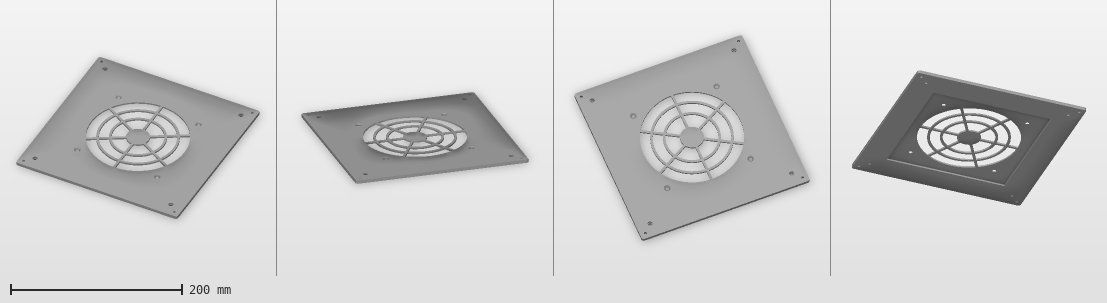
import cadquery as cq

side = 212.0
thickness = 4.0
corner_radius = 3.0

panel_thickness = 2.0
pocket_side = 148.5

opening_radius = 61.0
hub_radius = 14.0
bar_width = 3.0
ring_outer_radii = (34.0, 49.0)
spoke_count = 6

corner_hole_offset = 99.2
corner_hole_diameter = 3.2

counterbore_hole_offset = 89.5
counterbore_hole_diameter = 3.2
counterbore_diameter = 6.0
counterbore_depth = thickness / 2

fan_hole_offset = 52.5
fan_hole_diameter = 4.2
countersink_diameter = 8.0
countersink_angle = 90.0


def disc(radius):
    """Solid disc as thick as the plate, centred on the Z axis."""
    return cq.Workplane("XY").circle(radius).extrude(thickness)


def ring(outer_radius):
    """Grille ring of one bar width."""
    return disc(outer_radius).cut(disc(outer_radius - bar_width))


def spokes():
    """Bars across the full opening; each makes two opposite spokes, the first along Y."""
    bars = cq.Workplane("XY")
    for index in range(spoke_count // 2):
        bar = cq.Workplane("XY").rect(bar_width, 2 * opening_radius).extrude(thickness)
        bars = bars.add(bar.rotate((0, 0, 0), (0, 0, 1), index * 360 / spoke_count))
    return bars.combine().intersect(disc(opening_radius))


def grille_gaps():
    """Air gaps left between the hub, rings, spokes and the edge of the opening."""
    gaps = disc(opening_radius).cut(disc(hub_radius)).cut(spokes())
    for outer_radius in ring_outer_radii:
        gaps = gaps.cut(ring(outer_radius))
    return gaps


def underside_pocket():
    """Material removed below the thin central panel."""
    return cq.Workplane("XY").rect(pocket_side, pocket_side).extrude(thickness - panel_thickness)


def at_square_corners(body, offset):
    """Select the top face of the plate, with a point in each quadrant."""
    top = body.faces(">Z").workplane(origin=(0, 0, thickness))
    return top.rect(2 * offset, 2 * offset, forConstruction=True).vertices()


plate = (
    cq.Workplane("XY")
    .rect(side, side)
    .extrude(thickness)
    .edges("|Z")
    .fillet(corner_radius)
)

plate = at_square_corners(plate, corner_hole_offset).hole(corner_hole_diameter)
plate = at_square_corners(plate, counterbore_hole_offset).cboreHole(
    counterbore_hole_diameter, counterbore_diameter, counterbore_depth
)
plate = at_square_corners(plate, fan_hole_offset).cskHole(
    fan_hole_diameter, countersink_diameter, countersink_angle
)

result = plate.cut(grille_gaps()).cut(underside_pocket())